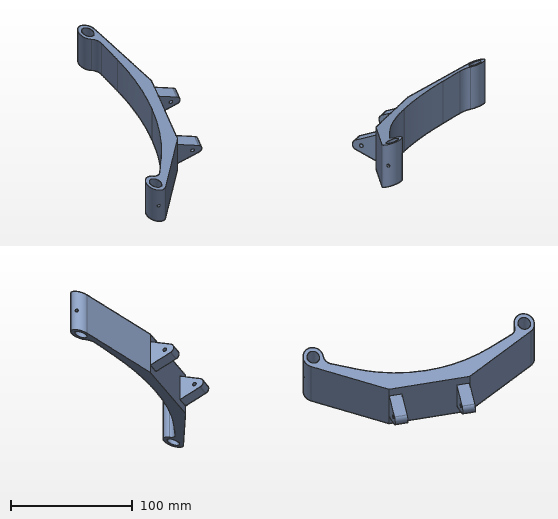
import cadquery as cq
import math

overall_length = 195.0
tube_radius = 8.4
bore_diameter = 10.1
side_hole_diameter = 2.5

back_y = 37.0
back_half_width = 34.1
beam_height = 37.6
top_slope = 0.4

arch_y = 26.1
arch_flat_half_width = 0.8
arch_radius = 152.1
arch_end_angle = math.radians(21.8)
root_fillet_radius = 7.5

lug_outer_x = 34.0
lug_width = 10.7
lug_tip_y = 58.1
lug_tip_radius = 4.5
lug_root_half_height = 11.5
lug_hole_y = 50.1
lug_hole_diameter = 3.1

tube_x = overall_length / 2 - tube_radius
tube_front_y = -tube_radius
mid_z = beam_height / 2


def arch_point(angle):
    """Point on the right half of the arch at the given angle from its crown."""
    x = arch_flat_half_width + arch_radius * math.sin(angle)
    y = arch_y - arch_radius * (1 - math.cos(angle))
    return x, y


def root_fillet_center():
    """Center of the fillet touching the straight end of the arch and the tube."""
    along = (math.cos(arch_end_angle), -math.sin(arch_end_angle))
    start_x, start_y = arch_point(arch_end_angle)
    offset_x = start_x - root_fillet_radius * math.sin(arch_end_angle)
    offset_y = start_y - root_fillet_radius * math.cos(arch_end_angle)
    dx = tube_x - offset_x
    dy = -offset_y
    to_foot = dx * along[0] + dy * along[1]
    foot_gap = dx * along[1] - dy * along[0]
    to_center = to_foot - math.sqrt((tube_radius + root_fillet_radius) ** 2 - foot_gap**2)
    return offset_x + to_center * along[0], offset_y + to_center * along[1]


def half_profile():
    """Right half of the beam and tube outline in plan, from the center plane outward."""
    to_tube_x = tube_x - back_half_width
    distance = math.hypot(to_tube_x, back_y)
    back_angle = math.atan2(back_y, to_tube_x) - math.asin(tube_radius / distance)
    back_tangent = (
        tube_x + tube_radius * math.sin(back_angle),
        tube_radius * math.cos(back_angle),
    )

    fillet_x, fillet_y = root_fillet_center()
    share = tube_radius / (tube_radius + root_fillet_radius)
    tube_tangent = (tube_x + (fillet_x - tube_x) * share, fillet_y * share)
    fillet_start_angle = math.pi / 2 - arch_end_angle
    fillet_end_angle = math.atan2(-fillet_y, tube_x - fillet_x)
    fillet_mid_angle = (fillet_start_angle + fillet_end_angle) / 2

    def on_fillet(angle):
        return (
            fillet_x + root_fillet_radius * math.cos(angle),
            fillet_y + root_fillet_radius * math.sin(angle),
        )

    return (
        cq.Workplane("XY")
        .moveTo(0, back_y)
        .lineTo(back_half_width, back_y)
        .lineTo(*back_tangent)
        .threePointArc((tube_x, tube_front_y), tube_tangent)
        .threePointArc(on_fillet(fillet_mid_angle), on_fillet(fillet_start_angle))
        .lineTo(*arch_point(arch_end_angle))
        .threePointArc(arch_point(arch_end_angle / 2), (arch_flat_half_width, arch_y))
        .lineTo(0, arch_y)
        .close()
    )


def sloped_envelope():
    """Long prism with the parallel sloped top and bottom faces of the beam."""
    rise = top_slope * (back_y - tube_front_y)
    return (
        cq.Workplane("YZ")
        .polyline([
            (back_y, 0),
            (back_y, beam_height),
            (tube_front_y, beam_height + rise),
            (tube_front_y, rise),
        ])
        .close()
        .extrude(overall_length / 2, both=True)
    )


def make_beam():
    """Arched beam with a bored tube at each end."""
    total_height = beam_height + top_slope * (back_y - tube_front_y)
    half = half_profile().extrude(total_height)
    plan = half.union(half.mirror("YZ"))
    bores = (
        cq.Workplane("XY")
        .pushPoints([(-tube_x, 0), (tube_x, 0)])
        .circle(bore_diameter / 2)
        .extrude(total_height)
    )
    return plan.intersect(sloped_envelope()).cut(bores)


def make_side_hole(side):
    """Cross hole through the outer wall of one tube, at its mid height."""
    return (
        cq.Workplane("YZ", origin=(side * tube_x, 0, 0))
        .center(0, mid_z + top_slope * back_y)
        .circle(side_hole_diameter / 2)
        .extrude(side * 2 * tube_radius)
    )


def make_lug(left_x):
    """Tapered mounting lug with a rounded tip and a cross hole."""
    tip_center_y = lug_tip_y - lug_tip_radius
    reach = tip_center_y - back_y
    distance = math.hypot(reach, lug_root_half_height)
    taper = math.atan2(lug_root_half_height, reach) - math.asin(lug_tip_radius / distance)
    tangent_y = tip_center_y + lug_tip_radius * math.sin(taper)
    tangent_z = lug_tip_radius * math.cos(taper)
    return (
        cq.Workplane("YZ", origin=(left_x, 0, mid_z))
        .moveTo(back_y, -lug_root_half_height)
        .lineTo(tangent_y, -tangent_z)
        .threePointArc((lug_tip_y, 0), (tangent_y, tangent_z))
        .lineTo(back_y, lug_root_half_height)
        .close()
        .moveTo(lug_hole_y, 0)
        .circle(lug_hole_diameter / 2)
        .extrude(lug_width)
    )


result = make_beam()
for side in (-1, 1):
    result = result.cut(make_side_hole(side))
for left_x in (-lug_outer_x, lug_outer_x - lug_width):
    result = result.union(make_lug(left_x))